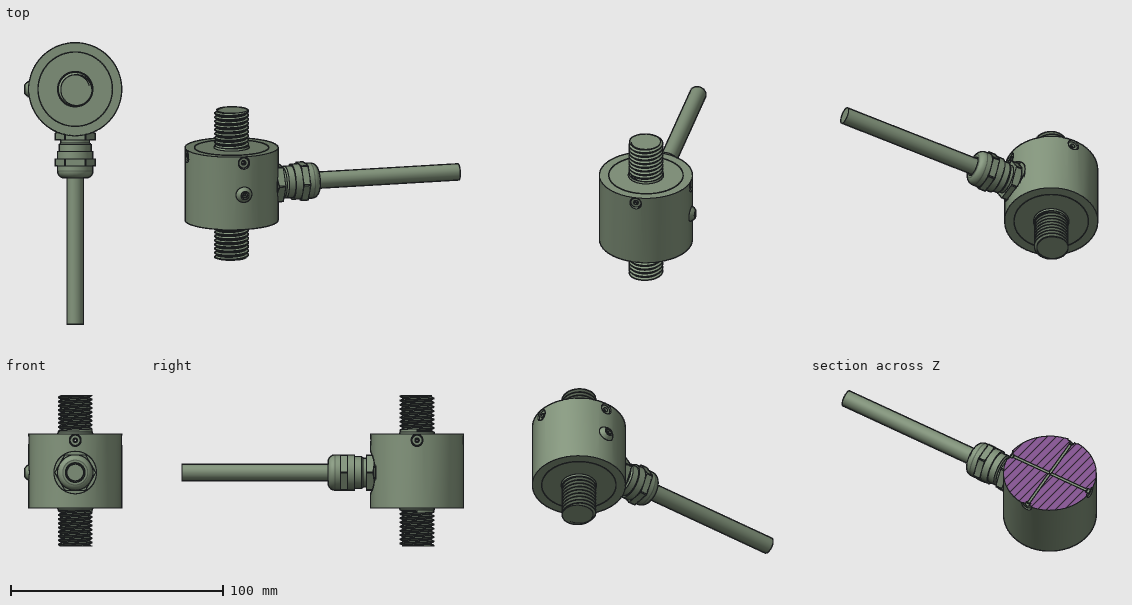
import cadquery as cq
import math


OVERALL_WIDTH = 45.8
OVERALL_LENGTH = 132.9
OVERALL_HEIGHT = 71.0

HOUSING_DIA = 44.0
HOUSING_HEIGHT = 35.1
HOUSING_RADIUS = HOUSING_DIA / 2
FITTING_Z = -0.73
GROOVE_DIA = 35.1
GROOVE_WIDTH = 0.1
GROOVE_DEPTH = 0.1

STUD_LENGTH = (OVERALL_HEIGHT - HOUSING_HEIGHT) / 2
STUD_DIA = 16.0
STUD_ROOT_DIA = 13.5
STUD_FLARE_DIA = 16.7
FLARE_HEIGHT = 0.9
THREAD_PITCH = 2.0
THREAD_START = 1.2
THREAD_MOUTH = 7 / 8 * THREAD_PITCH
THREAD_ROOT = 1 / 4 * THREAD_PITCH

CROSS_HOLE_Z = 14.5
CROSS_HOLE_DIA = 1.1
CROSS_BORE_DIA = 2.1
CROSS_BORE_DEPTH = 1.3
POCKET_FLOOR_DIA = 4.8
POCKET_RIM_DIA = 5.8
POCKET_DEPTH = 0.7

HEX_SIDES = 6
HALF_HEX_STEP = 180 / HEX_SIDES

SCREW_HEAD_DIA = 7.8
SCREW_FACE_DIA = 4.0
SCREW_REACH = OVERALL_WIDTH - HOUSING_RADIUS
SCREW_HEAD_HEIGHT = 2.3
SCREW_HEAD_BULGE = 0.1
SOCKET_FLATS = 2.5
SOCKET_DEPTH = 1.3
PILOT_DIA = 1.1
PILOT_DEPTH = 0.7
SEAT_OVERLAP = 0.7

SPOTFACE_DIA = 20.0
SPOTFACE_FLOOR = 19.4
SHANK_DIA = 13.5
SHANK_END = 14.6
LOCK_HEX_BACK = 20.3
LOCK_HEX_FRONT = 23.9
NECK_DIA = 13.7
NECK_END = 25.4
SLEEVE_DIA = 15.1
SLEEVE_START = 26.2
SLEEVE_END = 29.4
CAP_DIA = 16.7
CAP_HEX_BACK = 32.8
CAP_HEX_FRONT = 36.1
CAP_DOME_START = 38.7
CAP_END = 41.9
CAP_FACE_DIA = 11.7
HEX_FLATS = 16.7
HEX_CORNER_DIA = 19.0
HEX_CHAMFER_ANGLE = 25.0
CABLE_DIA = 7.8
CABLE_END = OVERALL_LENGTH - HOUSING_RADIUS
BORE_MOUTH_DIA = 9.3
BORE_FLOOR_DIA = 8.2
BORE_DEPTH = 2.7


def rod(diameter, start, end):
    """Cylinder around the gland axis between two distances along -Y."""
    return cq.Workplane("XZ", origin=(0, -start, 0)).circle(diameter / 2).extrude(end - start)


def threaded_stud():
    """Stud standing on Z = 0, with a right-hand thread groove that runs out of its free end."""
    stud = cq.Workplane("XY").circle(STUD_DIA / 2).extrude(STUD_LENGTH)

    root_radius = STUD_ROOT_DIA / 2
    thread_depth = STUD_DIA / 2 - root_radius
    overshoot = 0.1
    flank_spread = (THREAD_MOUTH - THREAD_ROOT) / 2 * (1 + overshoot)
    outer_radius = root_radius + thread_depth * (1 + overshoot)
    helix_height = STUD_LENGTH - THREAD_START + THREAD_PITCH
    helix = cq.Wire.makeHelix(THREAD_PITCH, helix_height, STUD_DIA / 2)
    groove = (
        cq.Workplane("XZ")
        .polyline([
            (root_radius, THREAD_ROOT / 2),
            (outer_radius, THREAD_ROOT / 2 + flank_spread),
            (outer_radius, -THREAD_ROOT / 2 - flank_spread),
            (root_radius, -THREAD_ROOT / 2),
        ])
        .close()
        .sweep(cq.Workplane(helix), isFrenet=True)
        .translate((0, 0, THREAD_START))
    )
    flare = cq.Workplane("XY").add(
        cq.Solid.makeCone(STUD_FLARE_DIA / 2, STUD_DIA / 2, FLARE_HEIGHT)
    )
    return stud.cut(groove).union(flare)


def end_face_groove():
    """Hairline ring, cut into the face on the +Z end of the housing."""
    return (
        cq.Workplane("XY", origin=(0, 0, HOUSING_HEIGHT / 2 - GROOVE_DEPTH))
        .circle((GROOVE_DIA + GROOVE_WIDTH) / 2)
        .circle((GROOVE_DIA - GROOVE_WIDTH) / 2)
        .extrude(GROOVE_DEPTH)
    )


def cross_hole():
    """Cutter for one radial hole from the Z axis out through the -Y side, with its tapered pocket."""
    floor = HOUSING_RADIUS - POCKET_DEPTH
    pocket = (
        cq.Workplane("XZ", origin=(0, -floor, 0))
        .circle(POCKET_FLOOR_DIA / 2)
        .workplane(offset=POCKET_DEPTH)
        .circle(POCKET_RIM_DIA / 2)
        .loft()
    )
    hole = rod(CROSS_HOLE_DIA, 0, floor)
    bore = rod(CROSS_BORE_DIA, floor - CROSS_BORE_DEPTH, floor)
    return pocket.union(hole).union(bore).translate((0, 0, CROSS_HOLE_Z))


def screw_head():
    """Domed head on the -X side, with a hexagon socket and a pilot hole in the socket floor."""
    seat = SCREW_REACH - SCREW_HEAD_HEIGHT
    head_radius = SCREW_HEAD_DIA / 2
    face_radius = SCREW_FACE_DIA / 2
    dome_middle = (
        -seat - SCREW_HEAD_HEIGHT / 2 - SCREW_HEAD_BULGE,
        (head_radius + face_radius) / 2 + SCREW_HEAD_BULGE,
    )
    head = (
        cq.Workplane("XY")
        .moveTo(-seat + SEAT_OVERLAP, 0)
        .lineTo(-seat + SEAT_OVERLAP, head_radius)
        .lineTo(-seat, head_radius)
        .threePointArc(dome_middle, (-SCREW_REACH, face_radius))
        .lineTo(-SCREW_REACH, 0)
        .close()
        .revolve(360, (0, 0, 0), (1, 0, 0))
    )
    socket = (
        cq.Workplane("YZ", origin=(-SCREW_REACH, 0, 0))
        .polygon(HEX_SIDES, SOCKET_FLATS, circumscribed=True)
        .extrude(SOCKET_DEPTH)
        .rotate((0, 0, 0), (1, 0, 0), HALF_HEX_STEP)
    )
    pilot = (
        cq.Workplane("YZ", origin=(-SCREW_REACH, 0, 0))
        .circle(PILOT_DIA / 2)
        .extrude(SOCKET_DEPTH + PILOT_DEPTH)
    )
    return head.cut(socket).cut(pilot).translate((0, 0, FITTING_Z))


def make_housing():
    housing = cq.Workplane("XY").circle(HOUSING_RADIUS).extrude(HOUSING_HEIGHT / 2, both=True)
    stud = threaded_stud().translate((0, 0, HOUSING_HEIGHT / 2))
    groove = end_face_groove()
    for flip in (0, 180):
        housing = housing.union(stud.rotate((0, 0, 0), (1, 0, 0), flip))
        housing = housing.cut(groove.rotate((0, 0, 0), (1, 0, 0), flip))
    for quarter in range(4):
        housing = housing.cut(cross_hole().rotate((0, 0, 0), (0, 0, 1), 90 * quarter))
    housing = housing.union(screw_head())
    spotface = rod(SPOTFACE_DIA, SPOTFACE_FLOOR, HOUSING_RADIUS)
    shank_hole = rod(SHANK_DIA, SHANK_END, SPOTFACE_FLOOR)
    housing = housing.cut(spotface.union(shank_hole).translate((0, 0, FITTING_Z)))
    return housing.solids()


def hexagon(back, front):
    """Hexagon around the gland axis with corners on X, turned down to the corner diameter."""
    hexagon_bar = (
        cq.Workplane("XZ", origin=(0, -back, 0))
        .polygon(HEX_SIDES, HEX_FLATS, circumscribed=True)
        .extrude(front - back)
        .rotate((0, 0, 0), (0, 1, 0), HALF_HEX_STEP)
    )
    return hexagon_bar.intersect(rod(HEX_CORNER_DIA, back, front))


def lock_hexagon():
    """Hexagon next to the housing, its corners chamfered on the back face."""
    radial = (HEX_CORNER_DIA - HEX_FLATS) / 2
    axial = radial * math.tan(math.radians(HEX_CHAMFER_ANGLE))
    envelope = (
        rod(HEX_CORNER_DIA, LOCK_HEX_BACK, LOCK_HEX_FRONT)
        .faces(">Y")
        .chamfer(axial, radial)
    )
    return hexagon(LOCK_HEX_BACK, LOCK_HEX_FRONT).intersect(envelope)


def make_gland():
    turned = (
        cq.Workplane("XY")
        .moveTo(0, -SHANK_END)
        .lineTo(SHANK_DIA / 2, -SHANK_END)
        .lineTo(SHANK_DIA / 2, -LOCK_HEX_FRONT)
        .lineTo(NECK_DIA / 2, -LOCK_HEX_FRONT)
        .lineTo(NECK_DIA / 2, -NECK_END)
        .lineTo(SLEEVE_DIA / 2, -SLEEVE_START)
        .lineTo(SLEEVE_DIA / 2, -SLEEVE_END)
        .lineTo(CAP_DIA / 2, -SLEEVE_END)
        .lineTo(CAP_DIA / 2, -CAP_DOME_START)
        .tangentArcPoint((CAP_FACE_DIA / 2, -CAP_END), relative=False)
        .lineTo(BORE_MOUTH_DIA / 2, -CAP_END)
        .lineTo(BORE_FLOOR_DIA / 2, -CAP_END + BORE_DEPTH)
        .lineTo(CABLE_DIA / 2, -CAP_END + BORE_DEPTH)
        .lineTo(CABLE_DIA / 2, -CABLE_END)
        .lineTo(0, -CABLE_END)
        .close()
        .revolve(360, (0, 0, 0), (0, 1, 0))
    )
    gland = turned.union(lock_hexagon()).union(hexagon(CAP_HEX_BACK, CAP_HEX_FRONT))
    return gland.translate((0, 0, FITTING_Z)).solids()


housing = make_housing()
gland = make_gland()

result = cq.Compound.makeCompound([housing.val(), gland.val()])